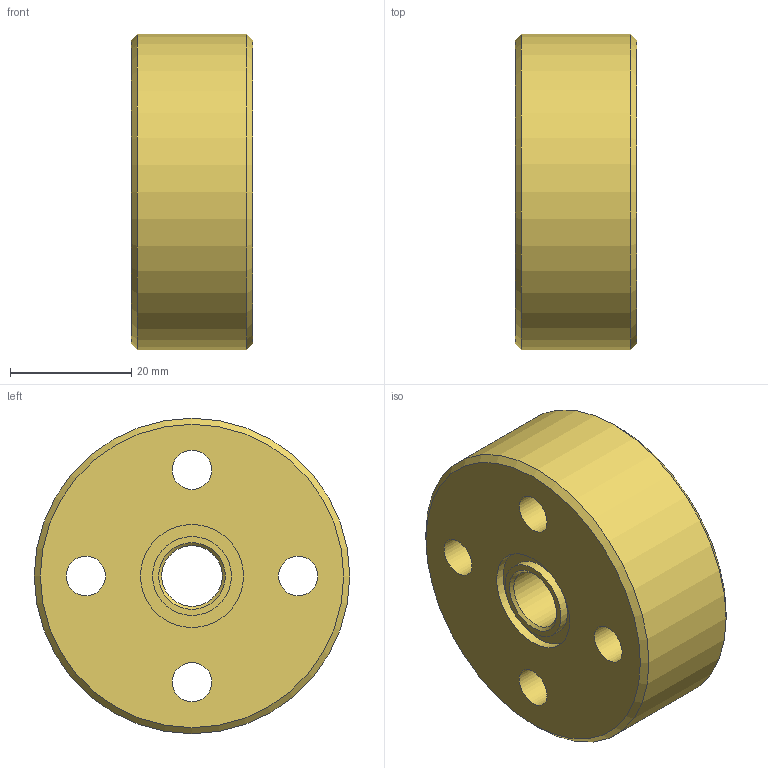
import cadquery as cq

disc_diameter = 52.0
disc_thickness = 20.0
rim_chamfer = 1.0

bore_diameter = 10.0
bore_chamfer = 0.5

groove_outer_diameter = 17.0
groove_inner_diameter = 13.0
groove_depth = 1.5

bolt_hole_count = 4
bolt_hole_diameter = 6.5
bolt_circle_radius = 17.5


def make_disc():
    """Solid disc with both rim edges chamfered."""
    disc = cq.Workplane("YZ").circle(disc_diameter / 2).extrude(disc_thickness)
    return disc.edges().chamfer(rim_chamfer)


def make_bore():
    """Through bore with its entry countersink."""
    bore = cq.Workplane("YZ").circle(bore_diameter / 2).extrude(disc_thickness)
    entry_radius = bore_diameter / 2 + bore_chamfer
    countersink = cq.Solid.makeCone(
        entry_radius,
        bore_diameter / 2,
        bore_chamfer,
        pnt=cq.Vector(0, 0, 0),
        dir=cq.Vector(1, 0, 0),
    )
    return bore.union(cq.Workplane(countersink))


def make_groove():
    """Ring that cuts the annular groove into the face at X = 0."""
    return (
        cq.Workplane("YZ")
        .circle(groove_outer_diameter / 2)
        .circle(groove_inner_diameter / 2)
        .extrude(groove_depth)
    )


def make_bolt_holes():
    """Evenly spaced cylinders that cut the bolt holes."""
    return (
        cq.Workplane("YZ")
        .polarArray(bolt_circle_radius, 0, 360, bolt_hole_count)
        .circle(bolt_hole_diameter / 2)
        .extrude(disc_thickness)
    )


result = make_disc().cut(make_bore()).cut(make_groove()).cut(make_bolt_holes())